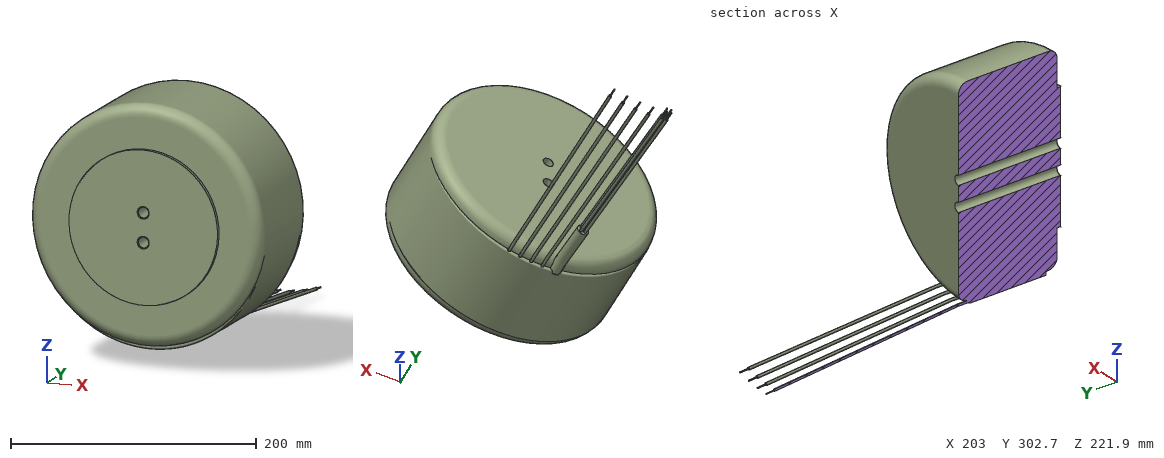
import cadquery as cq
import math

BODY_RADIUS = 101.5
BODY_LENGTH = 102.0
BODY_ROUNDING = 10.0
FRONT_PAD_RADIUS = 65.0
FRONT_PAD_HEIGHT = 3.5

HOLE_DIAMETER = 9.0
HOLE_SPACING = 25.0
HOLE_CHAMFER = 0.75

COVER_WIDTH = 79.0
COVER_DROP = 3.5
COVER_ROUNDING = 1.2

LEAD_RADIUS_POSITION = 102.66
LEAD_TILT = 5.0
LEAD_REACH = 197.2
LEAD_DIAMETER = 2.5
CORE_DIAMETER = 1.0
CORE_BARE_LENGTH = 8.5
LEAD_COUNT = 4
LEAD_PITCH_ANGLE = 5.65

CABLE_RADIUS_POSITION = 100.7
CABLE_ANGLE = -7.0
SLEEVE_DIAMETER = 10.2
SLEEVE_LENGTH = 39.0
BUNDLE_PITCH = 3.7

COVER_START = (BODY_LENGTH - COVER_WIDTH) / 2
COVER_END = COVER_START + COVER_WIDTH
STUB_OVERLAP = 2.0


def cylinder(radius, start, length, x=0, z=0):
    """Cylinder along +Y starting at y = start."""
    return cq.Workplane("XY").add(
        cq.Solid.makeCylinder(radius, length, cq.Vector(x, start, z), cq.Vector(0, 1, 0))
    )


def drum():
    """Rounded disc with a shallow round pad on its front face."""
    body = cylinder(BODY_RADIUS, 0, BODY_LENGTH).faces("<Y or >Y").edges().fillet(BODY_ROUNDING)
    pad = cylinder(FRONT_PAD_RADIUS, -FRONT_PAD_HEIGHT, FRONT_PAD_HEIGHT)
    return body.union(pad)


def lower_cover():
    """Half-ellipse block as wide as the drum and slightly deeper, with rounded end rims."""
    block = (
        cq.Workplane("XZ", origin=(0, COVER_END, 0))
        .ellipseArc(BODY_RADIUS, BODY_RADIUS + COVER_DROP, 180, 360, startAtCurrent=False)
        .close()
        .extrude(COVER_WIDTH)
    )
    return block.edges("%ELLIPSE").fillet(COVER_ROUNDING)


def bent_rod(diameter, radius_position, angle, reach, side=0, lift=0):
    """Rod with a mitred bend: straight to the back of the drum, then tilted outward."""
    z = -radius_position + lift
    start = (side, COVER_END - STUB_OVERLAP, z)
    bend = (side, BODY_LENGTH, z)
    tip = (side, BODY_LENGTH + reach, z - reach * math.tan(math.radians(LEAD_TILT)))
    path = cq.Workplane("XY").polyline([start, bend, tip])
    section = cq.Workplane("XZ", origin=start).circle(diameter / 2)
    rod = section.sweep(path, transition="right")
    return rod.rotate((0, 0, 0), (0, 1, 0), -angle)


def lead(radius_position, angle, side=0, lift=0):
    """Insulated wire with a bare core showing at its tip."""
    insulation_reach = LEAD_REACH - CORE_BARE_LENGTH
    insulation = bent_rod(LEAD_DIAMETER, radius_position, angle, insulation_reach, side, lift)
    core = bent_rod(CORE_DIAMETER, radius_position, angle, LEAD_REACH, side, lift)
    return insulation.union(core)


def bundle_offsets():
    """Corners of the bundle square, counter-turned so its sides stay parallel to X and Z."""
    half_diagonal = BUNDLE_PITCH / math.sqrt(2)
    corner_angles = [math.radians(corner - CABLE_ANGLE) for corner in (45, 135, 225, 315)]
    return [(half_diagonal * math.cos(a), half_diagonal * math.sin(a)) for a in corner_angles]


def holes():
    """Cutters for the two through holes, chamfered at the front mouth."""
    cutters = cq.Workplane("XY")
    front = -FRONT_PAD_HEIGHT
    for z in (-HOLE_SPACING / 2, HOLE_SPACING / 2):
        bore = cylinder(HOLE_DIAMETER / 2, front, BODY_LENGTH + FRONT_PAD_HEIGHT, 0, z)
        mouth = cq.Solid.makeCone(
            HOLE_DIAMETER / 2 + HOLE_CHAMFER,
            HOLE_DIAMETER / 2,
            HOLE_CHAMFER,
            cq.Vector(0, front, z),
            cq.Vector(0, 1, 0),
        )
        cutters = cutters.union(bore).union(cq.Workplane("XY").add(mouth))
    return cutters


part = drum().union(lower_cover())

for index in range(LEAD_COUNT):
    part = part.union(lead(LEAD_RADIUS_POSITION, index * LEAD_PITCH_ANGLE))

part = part.union(bent_rod(SLEEVE_DIAMETER, CABLE_RADIUS_POSITION, CABLE_ANGLE, SLEEVE_LENGTH))
for side, lift in bundle_offsets():
    part = part.union(lead(CABLE_RADIUS_POSITION, CABLE_ANGLE, side, lift))

result = part.cut(holes())